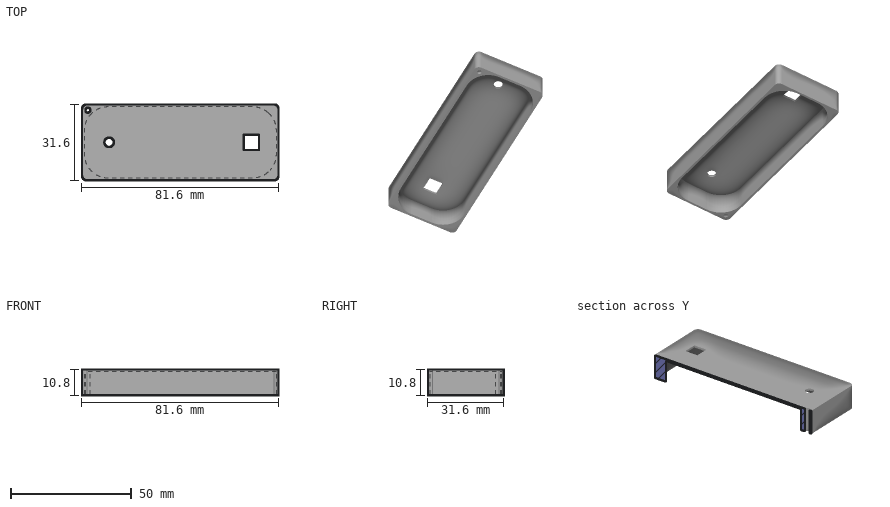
import cadquery as cq

length = 81.6
width = 31.6
height = 10.85
corner_radius = 2.0

wall = 1.0
roof = 1.0
cavity_corner_radius = 9.95

button_diameter = 3.8
button_x = -29.5
window_side = 6.2
window_x = 29.45
lanyard_diameter = 1.95
lanyard_inset = 2.45


def rounded_block(size_x, size_y, size_z, radius):
    """Upright block standing on z = 0 with rounded vertical edges."""
    block = cq.Workplane("XY").box(size_x, size_y, size_z, centered=(True, True, False))
    return block.edges("|Z").fillet(radius)


def round_cutter(diameter, x, y):
    """Vertical cylinder passing through the full height."""
    return cq.Workplane("XY").center(x, y).circle(diameter / 2).extrude(height)


body = rounded_block(length, width, height, corner_radius)
cavity = rounded_block(
    length - 2 * wall, width - 2 * wall, height - roof, cavity_corner_radius
)

button_hole = round_cutter(button_diameter, button_x, 0)
window = (
    cq.Workplane("XY").center(window_x, 0).rect(window_side, window_side).extrude(height)
)

lanyard_hole = round_cutter(
    lanyard_diameter, lanyard_inset - length / 2, width / 2 - lanyard_inset
)

result = body.cut(cavity).cut(button_hole).cut(window).cut(lanyard_hole)